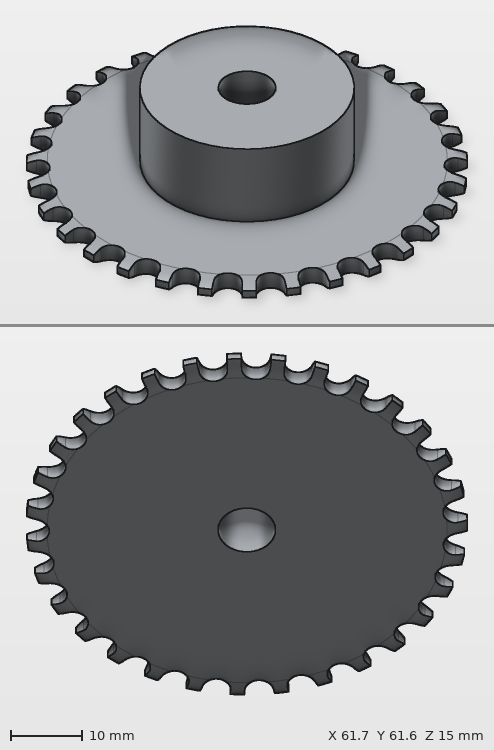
import cadquery as cq
import math

tip_diameter = 61.7
total_height = 15.0
hub_diameter = 30.0
bore_diameter = 8.0

tooth_count = 31
pitch_diameter = 59.3
roller_diameter = 4.0
plate_thickness = 2.6
tip_thickness = 1.2
face_diameter = 55.95

tip_radius = tip_diameter / 2
face_radius = face_diameter / 2
tooth_angle = 360 / tooth_count
pitch_radius = pitch_diameter / 2

flank_length = tip_radius - face_radius
flank_drop = (plate_thickness - tip_thickness) / 2
flank_radius = (flank_length**2 + flank_drop**2) / (2 * flank_drop)
half_arc_angle = math.atan2(flank_drop, flank_length)
flank_mid_reach = flank_radius * math.sin(half_arc_angle)
flank_mid_drop = flank_radius * (1 - math.cos(half_arc_angle))


def make_blank():
    """Round plate whose rim is thinned by an arc on both faces."""
    profile = (
        cq.Workplane("YZ")
        .lineTo(face_radius, 0)
        .threePointArc(
            (face_radius + flank_mid_reach, flank_mid_drop),
            (tip_radius, flank_drop),
        )
        .lineTo(tip_radius, plate_thickness - flank_drop)
        .threePointArc(
            (face_radius + flank_mid_reach, plate_thickness - flank_mid_drop),
            (face_radius, plate_thickness),
        )
        .lineTo(0, plate_thickness)
        .close()
    )
    return profile.revolve(360, (0, 0, 0), (0, 1, 0))


def make_tooth_gap(angle):
    """Round roller seat on the pitch circle; its tangent walls run parallel to the two tooth axes."""
    seat_radius = roller_diameter / 2
    wall_slope = math.radians(tooth_angle / 2)
    wall_start_x = pitch_radius - seat_radius * math.sin(wall_slope)
    wall_start_y = seat_radius * math.cos(wall_slope)
    gap_end_x = tip_radius + seat_radius
    gap_end_y = wall_start_y + (gap_end_x - wall_start_x) * math.tan(wall_slope)
    return (
        cq.Workplane("XY")
        .moveTo(gap_end_x, -gap_end_y)
        .lineTo(wall_start_x, -wall_start_y)
        .threePointArc((pitch_radius - seat_radius, 0), (wall_start_x, wall_start_y))
        .lineTo(gap_end_x, gap_end_y)
        .close()
        .extrude(plate_thickness)
        .rotate((0, 0, 0), (0, 0, 1), angle)
    )


sprocket = make_blank()

for index in range(tooth_count):
    sprocket = sprocket.cut(make_tooth_gap(90 + (index + 0.5) * tooth_angle))

hub = cq.Workplane("XY").circle(hub_diameter / 2).extrude(total_height)
bore = cq.Workplane("XY").circle(bore_diameter / 2).extrude(total_height)

result = sprocket.union(hub).cut(bore)